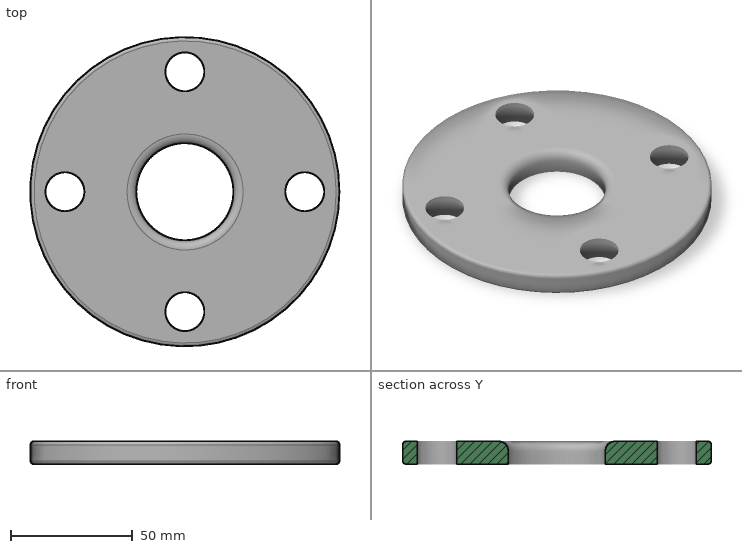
import cadquery as cq

outer_diameter = 127.0
thickness = 9.5
rim_fillet = 1.5

bore_diameter = 39.8
bore_fillet = 4.0

bolt_hole_diameter = 15.9
bolt_circle_diameter = 98.4
bolt_hole_count = 4


def rounded_disc():
    """Disc resting on Z = 0 with both rim edges rounded."""
    disc = cq.Workplane("XY").circle(outer_diameter / 2).extrude(thickness)
    return disc.edges("%CIRCLE").fillet(rim_fillet)


def cut_bore(body):
    """Cut the through bore and round its upper edge."""
    bored = body.faces(">Z").workplane().hole(bore_diameter)
    bore_edge = cq.selectors.RadiusNthSelector(0)
    return bored.faces(">Z").edges(bore_edge).fillet(bore_fillet)


def cut_bolt_holes(body):
    """Cut the evenly spaced through holes on the bolt circle."""
    return (
        body.faces(">Z")
        .workplane(origin=(0, 0, thickness))
        .polarArray(bolt_circle_diameter / 2, 0, 360, bolt_hole_count)
        .hole(bolt_hole_diameter)
    )


result = cut_bolt_holes(cut_bore(rounded_disc()))